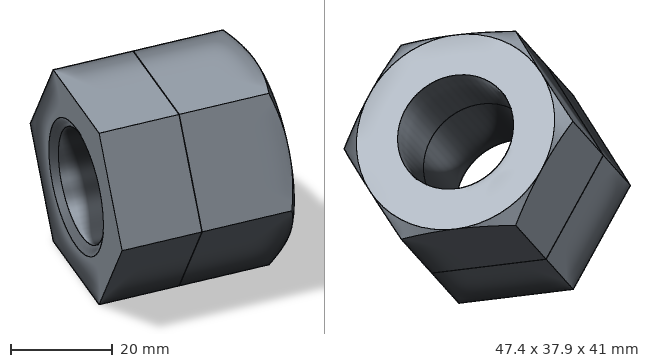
import cadquery as cq
import math

across_corners = 47.35
across_flats = across_corners * math.cos(math.radians(30))

total_length = 37.9
front_length = 16.95
seam_gap = 0.1

bore_diameter = 24.0
mouth_diameter = 28.05
countersink_depth = 1.2

collar_diameter = 30.75
collar_length = 4.75

chamfer_angle = 30.0
rear_face_diameter = across_flats


def hex_sleeve(start, end):
    """Hexagonal prism with a through bore, running along Y from start to end."""
    return (
        cq.Workplane("XZ", origin=(0, start, 0))
        .polygon(6, across_corners)
        .circle(bore_diameter / 2)
        .extrude(start - end)
    )


def collar_outline():
    """Solid cylinder of the collar, also the shape of its recess."""
    return (
        cq.Workplane("XZ", origin=(0, front_length, 0))
        .circle(collar_diameter / 2)
        .extrude(-collar_length)
    )


def collar():
    """Collar with the bore carried on through it."""
    return collar_outline().faces(">Y").workplane().hole(bore_diameter)


def countersink():
    """Cone that widens the bore at the front face."""
    return (
        cq.Workplane("XY")
        .polyline([
            (0, 0),
            (mouth_diameter / 2, 0),
            (bore_diameter / 2, countersink_depth),
            (0, countersink_depth),
        ])
        .close()
        .revolve(360, (0, 0, 0), (0, 1, 0))
    )


def corner_chamfer():
    """Ring that trims the hexagon corners down to a cone at the rear face."""
    face_radius = rear_face_diameter / 2
    outer_radius = across_corners
    drop = (outer_radius - face_radius) * math.tan(math.radians(chamfer_angle))
    return (
        cq.Workplane("XY")
        .polyline([
            (face_radius, total_length),
            (outer_radius, total_length),
            (outer_radius, total_length - drop),
        ])
        .close()
        .revolve(360, (0, 0, 0), (0, 1, 0))
    )


front_nut = hex_sleeve(0, front_length).union(collar()).cut(countersink())

rear_start = front_length + seam_gap
rear_nut = hex_sleeve(rear_start, total_length).cut(collar_outline()).cut(corner_chamfer())

result = cq.Compound.makeCompound([front_nut.val(), rear_nut.val()])